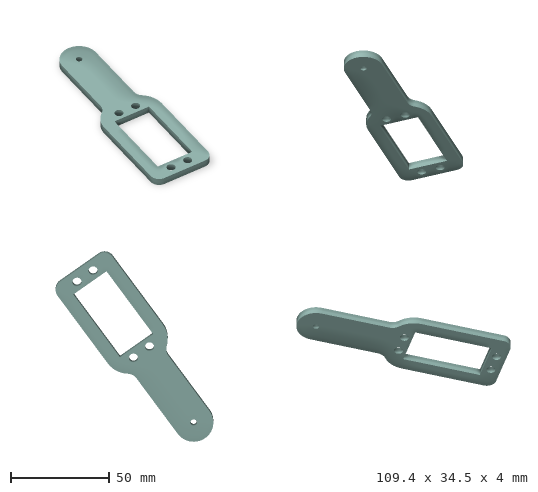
import cadquery as cq
import math

total_length = 109.4
frame_width = 34.5
thickness = 4.0

handle_width = 20.0
pivot_hole_diameter = 3.3

corner_radius = 5.0
window_length = 40.7
window_width = 20.8
screw_hole_diameter = 4.6
screw_spacing_x = 49.0
screw_spacing_y = 10.1

shoulder_start_x = 35.9
concave_radius = 5.7
convex_radius = 12.9

end_radius = handle_width / 2
frame_half_width = frame_width / 2
frame_end_x = total_length - end_radius
corner_start_x = frame_end_x - corner_radius
corner_start_y = frame_half_width - corner_radius
screw_center_x = frame_end_x - corner_radius - screw_spacing_x / 2

shoulder_rise = frame_half_width - end_radius
shoulder_angle = math.acos(1 - shoulder_rise / (concave_radius + convex_radius))
shoulder_end_x = shoulder_start_x + (concave_radius + convex_radius) * math.sin(shoulder_angle)


def concave_point(angle):
    """Point on the concave arc after turning by angle from the handle edge."""
    return (
        shoulder_start_x + concave_radius * math.sin(angle),
        end_radius + concave_radius * (1 - math.cos(angle)),
    )


def convex_point(angle):
    """Point on the convex arc at angle before it meets the frame edge."""
    return (
        shoulder_end_x - convex_radius * math.sin(angle),
        frame_half_width - convex_radius * (1 - math.cos(angle)),
    )


def make_plate():
    """Build the upper half of the outline and mirror it about the X axis."""
    corner_diagonal = corner_radius * math.sqrt(0.5)
    arc_diagonal = end_radius * math.sqrt(0.5)
    half_plate = (
        cq.Workplane("XY")
        .moveTo(-end_radius, 0)
        .threePointArc((-arc_diagonal, arc_diagonal), (0, end_radius))
        .lineTo(shoulder_start_x, end_radius)
        .threePointArc(concave_point(shoulder_angle / 2), concave_point(shoulder_angle))
        .threePointArc(convex_point(shoulder_angle / 2), (shoulder_end_x, frame_half_width))
        .lineTo(corner_start_x, frame_half_width)
        .threePointArc(
            (corner_start_x + corner_diagonal, corner_start_y + corner_diagonal),
            (frame_end_x, corner_start_y),
        )
        .lineTo(frame_end_x, 0)
        .close()
        .extrude(thickness)
    )
    return half_plate.union(half_plate.mirror("XZ")).clean()


def cut_window(plate):
    """Cut the rectangular window midway between the two pairs of screw holes."""
    window = (
        cq.Workplane("XY")
        .center(screw_center_x, 0)
        .rect(window_length, window_width)
        .extrude(thickness)
    )
    return plate.cut(window)


def cut_holes(plate):
    """Drill the pivot hole and the four screw holes through the plate."""
    pivot_hole = cq.Workplane("XY").circle(pivot_hole_diameter / 2).extrude(thickness)
    screw_holes = (
        cq.Workplane("XY")
        .center(screw_center_x, 0)
        .rect(screw_spacing_x, screw_spacing_y, forConstruction=True)
        .vertices()
        .circle(screw_hole_diameter / 2)
        .extrude(thickness)
    )
    return plate.cut(pivot_hole).cut(screw_holes)


result = cut_holes(cut_window(make_plate()))